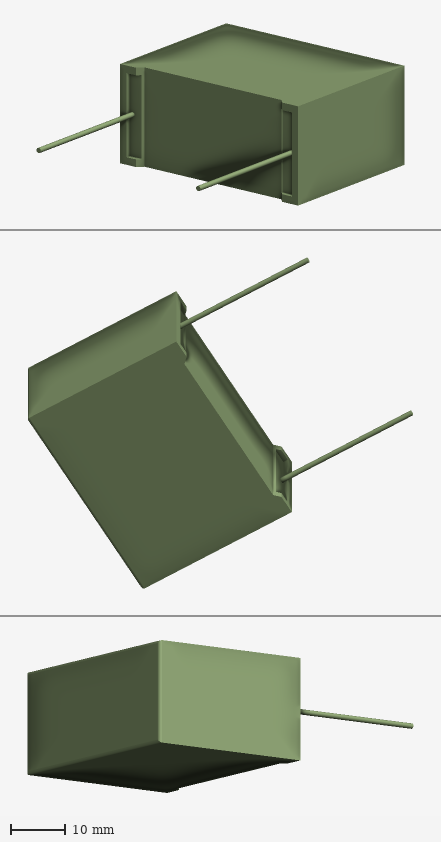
import cadquery as cq

case_width = 41.8
case_height = 19.2
overall_length = 59.1
case_length = 32.1
rear_edge_radius = 0.6

foot_width = 3.7
relief_depth = 1.1
relief_slope_width = 1.1

pocket_margin = 1.5
pocket_width = 2.95
pocket_depth = 0.95
pocket_height = case_height - 2 * pocket_margin

lead_diameter = 1.0
lead_spacing = 37.45
lead_embed = 1.2

half_width = case_width / 2
rear_y = overall_length / 2
lead_tip_y = -overall_length / 2
foot_y = rear_y - case_length
relief_y = foot_y + relief_depth
pocket_floor_y = foot_y + pocket_depth
lead_length = pocket_floor_y + lead_embed - lead_tip_y
sides = (-1, 1)


def make_case_block():
    """Solid block with the relief between its feet and a rounded rear end."""
    foot_x = half_width - foot_width
    relief_x = foot_x - relief_slope_width
    outline = [
        (-half_width, rear_y),
        (-half_width, foot_y),
        (-foot_x, foot_y),
        (-relief_x, relief_y),
        (relief_x, relief_y),
        (foot_x, foot_y),
        (half_width, foot_y),
        (half_width, rear_y),
    ]
    block = cq.Workplane("XY", origin=(0, 0, -case_height / 2)).polyline(outline).close().extrude(case_height)
    return block.faces(">Y").edges().fillet(rear_edge_radius)


def make_pocket(side):
    """Volume removed from one foot, from its face back to the pocket floor."""
    pocket_x = side * (half_width - pocket_margin - pocket_width / 2)
    return (
        cq.Workplane("XZ", origin=(pocket_x, foot_y, 0))
        .rect(pocket_width, pocket_height)
        .extrude(-pocket_depth)
    )


def make_lead(side):
    """Straight round wire from its free tip to its end inside the case."""
    return (
        cq.Workplane("XZ", origin=(side * lead_spacing / 2, lead_tip_y, 0))
        .circle(lead_diameter / 2)
        .extrude(-lead_length)
    )


def make_case(leads):
    """Case with a pocket in each foot and a matching blind hole for each lead."""
    case = make_case_block()
    for side in sides:
        case = case.cut(make_pocket(side))
    for lead in leads:
        case = case.cut(lead)
    return case


leads = [make_lead(side) for side in sides]
case = make_case(leads)

result = cq.Compound.makeCompound([case.val(), *[lead.val() for lead in leads]])